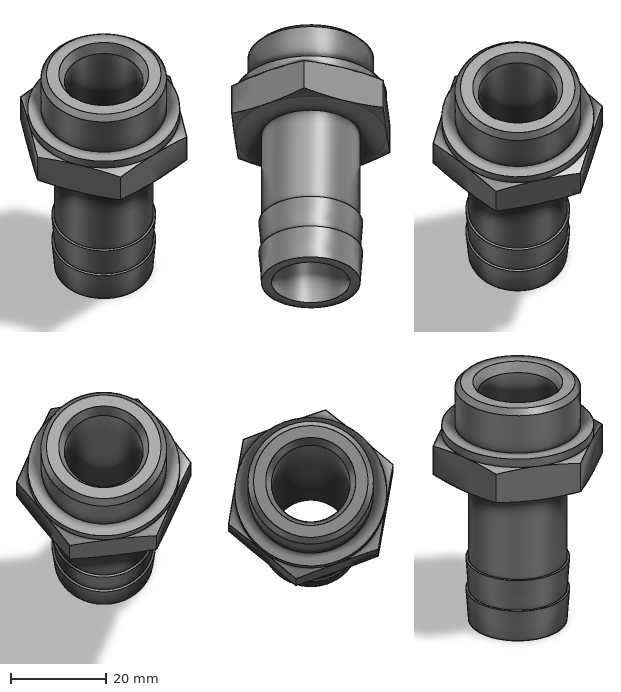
import cadquery as cq
import math

total_height = 56.0
collar_length = 10.0
flange_thickness = 1.95
hex_height = 8.0
barb_length = 7.3
barb_count = 2

bore_diameter = 16.5
bore_mouth_diameter = 18.9
bore_mouth_half_angle = 30.0
tube_diameter = 20.8
barb_diameter = 21.85
collar_diameter = 26.45
collar_tip_diameter = 24.1

across_flats = 32.0
hex_chamfer_angle = 15.0

flange_top = total_height - collar_length
hex_top = flange_top - flange_thickness
hex_bottom = hex_top - hex_height
across_corners = across_flats / math.cos(math.radians(30))


def cylinder(diameter, bottom, height):
    return cq.Workplane("XY").workplane(offset=bottom).circle(diameter / 2).extrude(height)


def cone(bottom_diameter, top_diameter, bottom, height):
    profile = [
        (0, bottom),
        (bottom_diameter / 2, bottom),
        (top_diameter / 2, bottom + height),
        (0, bottom + height),
    ]
    return cq.Workplane("XZ").polyline(profile).close().revolve(360, (0, 0), (0, 1))


def chamfered_hexagon():
    """Wrench hexagon with its corners turned down conically at both ends."""
    prism = (
        cq.Workplane("XY")
        .workplane(offset=hex_bottom)
        .transformed(rotate=(0, 0, 90))
        .polygon(6, across_corners)
        .extrude(hex_height)
    )
    flat_radius = across_flats / 2
    corner_radius = across_corners / 2
    corner_drop = (corner_radius - flat_radius) * math.tan(math.radians(hex_chamfer_angle))
    turned_profile = [
        (0, hex_bottom),
        (flat_radius, hex_bottom),
        (corner_radius, hex_bottom + corner_drop),
        (corner_radius, hex_top - corner_drop),
        (flat_radius, hex_top),
        (0, hex_top),
    ]
    turned = cq.Workplane("XZ").polyline(turned_profile).close().revolve(360, (0, 0), (0, 1))
    return prism.intersect(turned)


body = cylinder(tube_diameter, 0, hex_bottom)
for index in range(barb_count):
    body = body.union(cone(tube_diameter, barb_diameter, index * barb_length, barb_length))

body = body.union(chamfered_hexagon())
body = body.union(cylinder(across_flats, hex_top, flange_thickness))
collar_chamfer = (collar_diameter - collar_tip_diameter) / 2
collar = cylinder(collar_diameter, flange_top, collar_length)
body = body.union(collar.faces(">Z").chamfer(collar_chamfer))

mouth_depth = (bore_mouth_diameter - bore_diameter) / 2 / math.tan(math.radians(bore_mouth_half_angle))
body = body.cut(cylinder(bore_diameter, 0, total_height))
body = body.cut(cone(bore_diameter, bore_mouth_diameter, total_height - mouth_depth, mouth_depth))

result = body